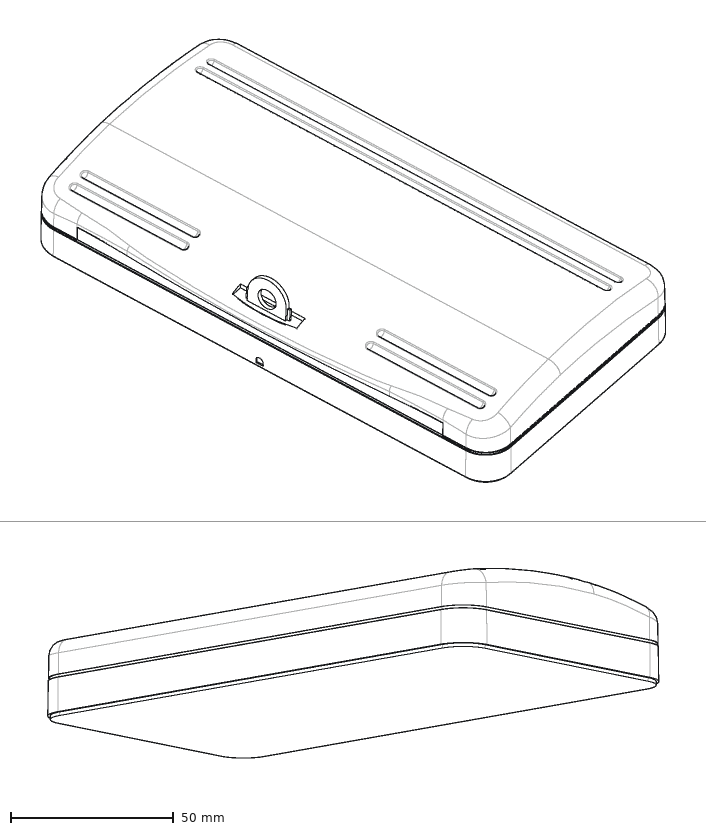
import cadquery as cq
import math

WIDTH = 181.02
DEPTH = 93.5
OVERALL_DEPTH = 96.42
CORNER_RADIUS = 10.0
FOOT_HEIGHT = 1.1
FOOT_INSET = 0.8
SPLIT_HEIGHT = 12.0
SPLIT_GAP = 0.9
SPLIT_INSET = 0.5
TRAY_DRAFT = 0.7

LID_BOTTOM = SPLIT_HEIGHT + SPLIT_GAP
LID_INSET = 0.2
LID_DRAFT = 1.0
LID_STOCK_TOP = 32.0

CROWN_PEAK_Y = 1.5
CROWN_PEAK_Z = 28.6
CROWN_BACK_RADIUS = 200.0
CROWN_FRONT_RADIUS = 156.0
CROWN_JOINT_Y = -12.1
CROWN_REACH_Y = 60.0

LIP_REACH = OVERALL_DEPTH - DEPTH + LID_INSET
LIP_HALF_WIDTH = 71.4
LIP_BLEND_X = 51.2
LIP_ROOT_Z = 18.1
LIP_TIP_Z = 19.5
PANEL_RECESS = 0.2
PANEL_LEAN = 0.1

ROUND_BACK = 5.0
ROUND_SIDE = 4.4
ROUND_FRONT_CORNER = 3.1
ROUND_LIP_END = 2.7
ROUND_LIP_MIDDLE = 1.2
ZONE_MARGIN = 1.0
UPWARD = 0.9

GROOVE_RADIUS = 1.3
GROOVE_EDGE_ROUND = 0.4
GROOVE_OUTER_X = 81.0 - GROOVE_EDGE_ROUND
GROOVE_INNER_X = 34.7 + GROOVE_EDGE_ROUND
BACK_GROOVES_Y = (30.7, 25.1)
FRONT_GROOVES_Y = (-32.3, -37.8)

POCKET_WIDTH = 25.2
POCKET_BACK_Y = -40.1
POCKET_FRONT_Y = -44.2
POCKET_BOW = 1.2
POCKET_FLOOR_Z = 22.0
HASP_TOP_Z = 33.96
HASP_RADIUS = 7.5
HASP_HOLE_DIAMETER = 7.0
HASP_THICKNESS = 1.5
HASP_TILT = 5.0
HASP_FOOT_Y = -42.6
HASP_ROOT = 2.0
SHOULDER_HALF_WIDTH = 8.5
SHOULDER_HEIGHT = 4.2

MARK_WIDTH = 2.8
MARK_BOTTOM_Z = 2.0
MARK_TOP_Z = 4.6
MARK_DEPTH = 0.5


def slab(inset, bottom, top, draft=0.0):
    """Rounded rectangle, inset from the widest band, between two heights."""
    return (
        cq.Workplane("XY", origin=(0, 0, bottom))
        .sketch()
        .rect(WIDTH - 2 * inset, DEPTH - 2 * inset)
        .vertices()
        .fillet(CORNER_RADIUS - inset)
        .finalize()
        .extrude(top - bottom, taper=draft)
    )


def make_tray():
    foot = slab(FOOT_INSET, 0, FOOT_HEIGHT)
    wall = slab(0, FOOT_HEIGHT, SPLIT_HEIGHT, TRAY_DRAFT)
    neck = slab(SPLIT_INSET, SPLIT_HEIGHT, LID_BOTTOM)
    return foot.union(wall).union(neck)


def make_lid_stock():
    """Drafted lid block whose front side bows out into the lip."""
    half_x = WIDTH / 2 - LID_INSET
    half_y = DEPTH / 2 - LID_INSET
    radius = CORNER_RADIUS - LID_INSET
    blend_reach = LIP_REACH * (LIP_HALF_WIDTH - LIP_BLEND_X) / LIP_HALF_WIDTH
    corner_middle = radius * (1 - math.sqrt(0.5))
    outline = (
        cq.Workplane("XY", origin=(0, 0, LID_BOTTOM))
        .moveTo(0, half_y)
        .lineTo(half_x - radius, half_y)
        .threePointArc((half_x - corner_middle, half_y - corner_middle), (half_x, half_y - radius))
        .lineTo(half_x, radius - half_y)
        .threePointArc((half_x - corner_middle, corner_middle - half_y), (half_x - radius, -half_y))
        .lineTo(LIP_HALF_WIDTH, -half_y)
        .tangentArcPoint((LIP_BLEND_X, -half_y - blend_reach), relative=False)
        .tangentArcPoint((-LIP_BLEND_X, -half_y - blend_reach), relative=False)
        .tangentArcPoint((-LIP_HALF_WIDTH, -half_y), relative=False)
        .lineTo(radius - half_x, -half_y)
        .threePointArc((corner_middle - half_x, corner_middle - half_y), (-half_x, radius - half_y))
        .lineTo(-half_x, half_y - radius)
        .threePointArc((corner_middle - half_x, half_y - corner_middle), (radius - half_x, half_y))
        .close()
    )
    return outline.extrude(LID_STOCK_TOP - LID_BOTTOM, taper=LID_DRAFT)


def back_crown_z(y):
    drop = CROWN_BACK_RADIUS - math.sqrt(CROWN_BACK_RADIUS**2 - (y - CROWN_PEAK_Y) ** 2)
    return CROWN_PEAK_Z - drop


def front_crown_z(y):
    """The front arc shares its tangent with the back arc at the joint."""
    ratio = CROWN_FRONT_RADIUS / CROWN_BACK_RADIUS
    center_y = CROWN_JOINT_Y - (CROWN_JOINT_Y - CROWN_PEAK_Y) * ratio
    back_center_z = CROWN_PEAK_Z - CROWN_BACK_RADIUS
    center_z = back_crown_z(CROWN_JOINT_Y) * (1 - ratio) + back_center_z * ratio
    return center_z + math.sqrt(CROWN_FRONT_RADIUS**2 - (y - center_y) ** 2)


def crown_z(y):
    return back_crown_z(y) if y > CROWN_JOINT_Y else front_crown_z(y)


def make_crown():
    """Everything under the crowned top surface."""
    front_middle_y = (CROWN_JOINT_Y - CROWN_REACH_Y) / 2
    profile = (
        cq.Workplane("YZ")
        .moveTo(CROWN_REACH_Y, 0)
        .lineTo(CROWN_REACH_Y, crown_z(CROWN_REACH_Y))
        .threePointArc((CROWN_PEAK_Y, CROWN_PEAK_Z), (CROWN_JOINT_Y, crown_z(CROWN_JOINT_Y)))
        .threePointArc((front_middle_y, crown_z(front_middle_y)), (-CROWN_REACH_Y, crown_z(-CROWN_REACH_Y)))
        .lineTo(-CROWN_REACH_Y, 0)
        .close()
    )
    return profile.extrude(WIDTH / 2, both=True)


def top_round_radius(point):
    """Rounding radius of the lid's top edge at a corner point of that edge."""
    if point.y > 0:
        return ROUND_BACK
    if point.y > CORNER_RADIUS - DEPTH / 2 - ZONE_MARGIN:
        return ROUND_SIDE
    if abs(point.x) > LIP_HALF_WIDTH + ZONE_MARGIN:
        return ROUND_FRONT_CORNER
    if abs(point.x) > LIP_BLEND_X + ZONE_MARGIN:
        return ROUND_LIP_END
    return ROUND_LIP_MIDDLE


def round_top_edge(lid):
    """Round the closed top edge with a radius that shrinks towards the lip."""
    solid = lid.val()
    crown_faces = [face for face in solid.Faces() if face.normalAt().z > UPWARD]
    crown_edges = [edge for face in crown_faces for edge in face.Edges()]
    rim = [edge for edge in crown_edges if sum(edge.isSame(other) for other in crown_edges) == 1]
    maker = cq.occ_impl.shapes.BRepFilletAPI_MakeFillet(solid.wrapped)
    maker.Add(rim[0].wrapped)
    for edge in rim:
        for vertex in edge.Vertices():
            maker.SetRadius(top_round_radius(vertex.Center()), 1, vertex.wrapped)
    return cq.Workplane(cq.Shape.cast(maker.Shape()))


def make_under_lip_cut():
    """Space under the lip, which also sets the front panel back a little."""
    panel_y = -DEPTH / 2 + LID_INSET + PANEL_RECESS
    tip_y = -DEPTH / 2 - LIP_REACH
    return (
        cq.Workplane("YZ")
        .polyline(
            [
                (panel_y, LID_BOTTOM),
                (panel_y + PANEL_LEAN, LIP_ROOT_Z),
                (tip_y, LIP_TIP_Z),
                (tip_y, LID_BOTTOM),
            ]
        )
        .close()
        .extrude(LIP_HALF_WIDTH, both=True)
    )


def make_lid():
    lid = make_lid_stock().intersect(make_crown())
    return round_top_edge(lid).cut(make_under_lip_cut())


def make_groove(y, start_x, end_x):
    """Half-round straight channel with ball ends, laid along the crowned top."""
    half_length = (end_x - start_x) / 2
    straight = half_length - GROOVE_RADIUS
    ball_middle = GROOVE_RADIUS * math.sqrt(0.5)
    rod = (
        cq.Workplane("XZ")
        .moveTo(-half_length, 0)
        .threePointArc((-straight - ball_middle, ball_middle), (-straight, GROOVE_RADIUS))
        .lineTo(straight, GROOVE_RADIUS)
        .threePointArc((straight + ball_middle, ball_middle), (half_length, 0))
        .close()
        .revolve(360, (0, 0, 0), (1, 0, 0))
    )
    return rod.translate(((start_x + end_x) / 2, y, crown_z(y)))


def cut_grooves(body):
    spans = [(y, -GROOVE_OUTER_X, GROOVE_OUTER_X) for y in BACK_GROOVES_Y]
    for y in FRONT_GROOVES_Y:
        spans.append((y, -GROOVE_OUTER_X, -GROOVE_INNER_X))
        spans.append((y, GROOVE_INNER_X, GROOVE_OUTER_X))
    for y, start_x, end_x in spans:
        body = body.cut(make_groove(y, start_x, end_x), clean=False)
    mouths = [wire for face in body.faces().vals() for wire in face.innerWires()]
    mouth_edges = [edge for wire in mouths for edge in wire.Edges()]
    return body.newObject(mouth_edges).fillet(GROOVE_EDGE_ROUND)


def make_pocket():
    """Recess around the hasp, with a bowed front edge."""
    half_width = POCKET_WIDTH / 2
    return (
        cq.Workplane("XY", origin=(0, 0, POCKET_FLOOR_Z))
        .moveTo(-half_width, POCKET_BACK_Y)
        .lineTo(half_width, POCKET_BACK_Y)
        .lineTo(half_width, POCKET_FRONT_Y)
        .threePointArc((0, POCKET_FRONT_Y - POCKET_BOW), (-half_width, POCKET_FRONT_Y))
        .close()
        .extrude(LID_STOCK_TOP - POCKET_FLOOR_Z)
    )


def make_hasp():
    """Padlock eye leaning slightly back, with wider shoulders at its foot."""
    half = HASP_THICKNESS / 2
    tilt = math.radians(HASP_TILT)
    rise = HASP_TOP_Z - POCKET_FLOOR_Z
    eye_height = (rise - half * math.sin(tilt)) / math.cos(tilt) - HASP_RADIUS
    upright = cq.Workplane("XZ", origin=(0, half, 0))
    plate = (
        upright.moveTo(-HASP_RADIUS, -HASP_ROOT)
        .lineTo(-HASP_RADIUS, eye_height)
        .threePointArc((0, eye_height + HASP_RADIUS), (HASP_RADIUS, eye_height))
        .lineTo(HASP_RADIUS, -HASP_ROOT)
        .close()
        .extrude(HASP_THICKNESS)
    )
    shoulders = (
        upright.center(0, (SHOULDER_HEIGHT - HASP_ROOT) / 2)
        .rect(2 * SHOULDER_HALF_WIDTH, SHOULDER_HEIGHT + HASP_ROOT)
        .extrude(half)
    )
    hole = (
        upright.center(0, eye_height)
        .circle(HASP_HOLE_DIAMETER / 2)
        .extrude(HASP_THICKNESS)
    )
    hasp = plate.union(shoulders).cut(hole)
    return hasp.rotate((0, 0, 0), (1, 0, 0), -HASP_TILT).translate((0, HASP_FOOT_Y, POCKET_FLOOR_Z))


def make_drain_mark():
    """Round-topped recess low in the middle of the front wall."""
    radius = MARK_WIDTH / 2
    return (
        cq.Workplane("XZ", origin=(0, MARK_DEPTH - DEPTH / 2, 0))
        .moveTo(-radius, MARK_BOTTOM_Z)
        .lineTo(radius, MARK_BOTTOM_Z)
        .lineTo(radius, MARK_TOP_Z - radius)
        .threePointArc((0, MARK_TOP_Z), (-radius, MARK_TOP_Z - radius))
        .close()
        .extrude(2 * MARK_DEPTH)
    )


lid = cut_grooves(make_lid()).cut(make_pocket(), clean=False)
tray = make_tray().cut(make_drain_mark())
result = tray.union(lid, clean=False).union(make_hasp(), clean=False)